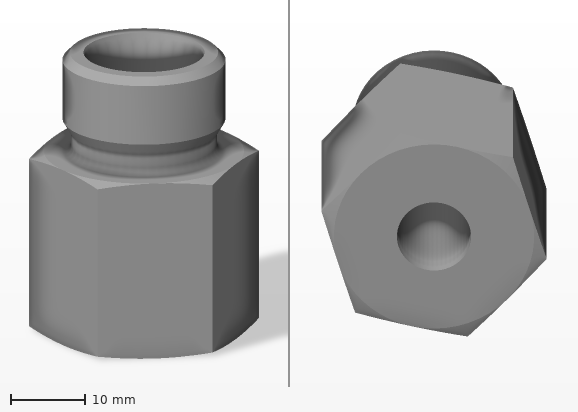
import cadquery as cq
import math

total_height = 39.0
hex_across_flats = 27.0
hex_height = 24.95
hex_corner_angle = math.radians(15)

thread_diameter = 22.0
thread_chamfer = 1.0
thread_length = 9.35
groove_diameter = 19.7
groove_slope_angle = math.radians(30)
groove_fillet = 1.0

socket_mouth_diameter = 16.3
socket_diameter = 14.0
taper_half_angle = math.radians(12)
socket_depth = 7.95
through_hole_diameter = 10.0


def revolve_profile(points):
    """Revolve a closed (radius, height) outline about the Z axis."""
    return cq.Workplane("XZ").polyline(points).close().revolve(360, (0, 0), (0, 1))


def make_hex_body():
    """Hexagonal prism with both ends turned down conically at the corners."""
    corner_diameter = hex_across_flats / math.cos(math.radians(30))
    prism = cq.Workplane("XY").polygon(6, corner_diameter).extrude(hex_height)
    prism = prism.rotate((0, 0, 0), (0, 0, 1), 30)
    face_radius = hex_across_flats / 2
    corner_radius = corner_diameter / 2
    corner_drop = (corner_radius - face_radius) * math.tan(hex_corner_angle)
    envelope = revolve_profile([
        (0, 0),
        (face_radius, 0),
        (corner_radius, corner_drop),
        (corner_radius, hex_height - corner_drop),
        (face_radius, hex_height),
        (0, hex_height),
    ])
    return prism.intersect(envelope)


def make_threaded_end():
    """Chamfered cylinder that narrows to a neck with rounded groove corners."""
    thread_radius = thread_diameter / 2
    neck_radius = groove_diameter / 2
    foot_radius = neck_radius + groove_fillet
    thread_bottom = total_height - thread_length
    slope_height = (thread_radius - neck_radius) / math.tan(groove_slope_angle)
    slope_bottom = thread_bottom - slope_height

    tangent_length = groove_fillet * math.tan(groove_slope_angle / 2)
    arc_start = (neck_radius, slope_bottom - tangent_length)
    arc_end = (
        neck_radius + tangent_length * math.sin(groove_slope_angle),
        slope_bottom + tangent_length * math.cos(groove_slope_angle),
    )
    half_angle = groove_slope_angle / 2
    arc_middle = (
        foot_radius - groove_fillet * math.cos(half_angle),
        arc_start[1] + groove_fillet * math.sin(half_angle),
    )

    foot_offset = groove_fillet * (1 - math.sqrt(0.5))
    foot_middle = (neck_radius + foot_offset, hex_height + foot_offset)

    return (
        cq.Workplane("XZ")
        .moveTo(0, hex_height)
        .lineTo(foot_radius, hex_height)
        .threePointArc(foot_middle, (neck_radius, hex_height + groove_fillet))
        .lineTo(*arc_start)
        .threePointArc(arc_middle, arc_end)
        .lineTo(thread_radius, thread_bottom)
        .lineTo(thread_radius, total_height - thread_chamfer)
        .lineTo(thread_radius - thread_chamfer, total_height)
        .lineTo(0, total_height)
        .close()
        .revolve(360, (0, 0), (0, 1))
    )


def make_bore():
    """Through hole opening into a socket with a conical mouth."""
    hole_radius = through_hole_diameter / 2
    socket_radius = socket_diameter / 2
    mouth_radius = socket_mouth_diameter / 2
    taper_depth = (mouth_radius - socket_radius) / math.tan(taper_half_angle)
    socket_floor = total_height - socket_depth
    return revolve_profile([
        (0, 0),
        (hole_radius, 0),
        (hole_radius, socket_floor),
        (socket_radius, socket_floor),
        (socket_radius, total_height - taper_depth),
        (mouth_radius, total_height),
        (0, total_height),
    ])


result = make_hex_body().union(make_threaded_end()).cut(make_bore())